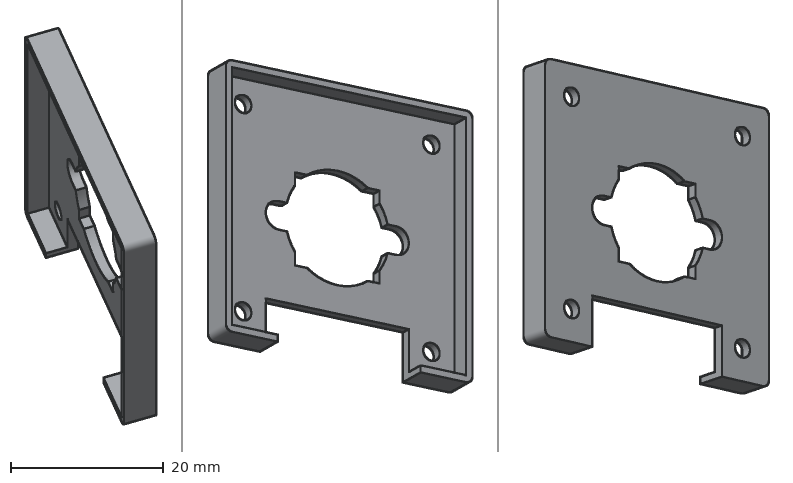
import cadquery as cq

side = 38.0
depth = 4.5
corner_radius = 1.0
wall = 1.0
floor = 1.52

hole_diameter = 2.5
hole_spacing = 29.0

bore_diameter = 16.0
square_side = 13.0
slot_length = 22.0
slot_width = 4.0

notch_width = 22.0
notch_height = 7.0


def front_plane():
    """Sketch plane on the open face, with +X right and +Z up."""
    return cq.Workplane("XZ", origin=(0, -depth / 2, 0))


def make_tray():
    """Shallow square tray with rounded outer corners and sharp inner corners."""
    block = front_plane().rect(side, side).extrude(-depth).edges("|Y").fillet(corner_radius)
    inner_side = side - 2 * wall
    pocket = front_plane().rect(inner_side, inner_side).extrude(floor - depth)
    return block.cut(pocket)


def make_central_opening():
    bore = front_plane().circle(bore_diameter / 2).extrude(-depth)
    square = front_plane().rect(square_side, square_side).extrude(-depth)
    slot = front_plane().slot2D(slot_length, slot_width).extrude(-depth)
    return bore.union(square).union(slot)


def make_screw_holes():
    return (
        front_plane()
        .rect(hole_spacing, hole_spacing, forConstruction=True)
        .vertices()
        .circle(hole_diameter / 2)
        .extrude(-depth)
    )


def make_notch():
    center_z = (notch_height - side) / 2
    return front_plane().center(0, center_z).rect(notch_width, notch_height).extrude(-depth)


result = make_tray().cut(make_central_opening()).cut(make_screw_holes()).cut(make_notch())